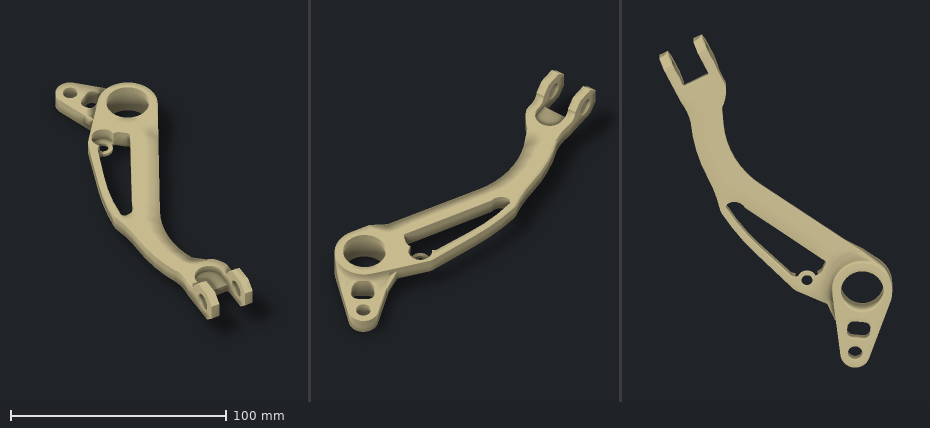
import cadquery as cq
import math


arm_bottom = 7.0
arm_top = 15.0
tab_top = 7.5
lug_top = 23.0
bevel_foot = 10.0
boss_top = 8.6
pocket_floor = 11.2
overcut = 1.7
overlap = 1.7
above_part = lug_top + overcut

hub_radius = 14.0
bore_radius = 10.0
tab_end = (-25.1, -16.5)
tab_end_radius = 6.9
tab_hole_radius = 3.5
tab_window_center = (-16.0, -10.0)
tab_window_length = 10.8
tab_window_width = 8.6
tab_window_corner = 3.1
tab_window_angle = -57
upper_cove_radius = 5.5
lower_cove_radius = 3.3
web_start_x = -7.7
web_end_x = 1.9
web_outer_y = -18.0
web_depth = 6.9

arm_chamfer = 0.7
arm_corner = (13.0, -28.5)
arm_corner_radius = 6.9
arm_slope = math.radians(28.5)
bend_radius = 39.8
bend_center_x = 84.5
bend_end_angle = math.radians(22)
neck_run = 8.5
neck_lower = (107.5, -34.6)
bevel_width = 9.8
bevel_start_x = 23.5

boss_center = (14.6, -21.3)
boss_radius = 4.5
boss_hole_radius = 2.5
boss_recess_radius = 5.5

fork_tip_x = 140.1
fork_center_y = -23.2
fork_width = 21.9
fork_gap = 13.6
fork_gap_x = 124.1
fork_gap_corner = 1.0
fork_pocket_x = 118.5
lug_width = 16.5
lug_chamfer = 4.1
lug_hole_radius = 4.1
lug_cove_radius = 4.0

fork_upper_y = fork_center_y + fork_width / 2
fork_lower_y = fork_center_y - fork_width / 2
bevel_height = arm_top - bevel_foot


def polar(center, radius, angle):
    return (center[0] + radius * math.cos(angle), center[1] + radius * math.sin(angle))


def tangent_angle(point, clockwise):
    """Angle on the hub circle where the tangent through an outside point touches."""
    swing = math.acos(hub_radius / math.hypot(*point))
    return math.atan2(point[1], point[0]) + (-swing if clockwise else swing)


upper_edge_angle = math.pi / 2 - arm_slope
bend_center = (
    bend_center_x,
    (hub_radius + bend_radius - bend_center_x * math.cos(upper_edge_angle)) / math.sin(upper_edge_angle),
)
lower_edge_angle = tangent_angle(arm_corner, True)
upper_edge_start = polar((0, 0), hub_radius, upper_edge_angle)
lower_edge_start = polar((0, 0), hub_radius, lower_edge_angle)
bend_start = polar(bend_center, bend_radius, -math.pi / 2 - arm_slope)
bend_middle = polar(bend_center, bend_radius, -math.pi / 2)
bend_end = polar(bend_center, bend_radius, -math.pi / 2 + bend_end_angle)
neck_upper = polar(bend_end, neck_run, bend_end_angle)
bevel_start = (
    bevel_start_x,
    upper_edge_start[1] - (bevel_start_x - upper_edge_start[0]) * math.tan(arm_slope),
)


def cylinder(center, radius, bottom, top):
    return cq.Workplane("XY", origin=(*center, bottom)).circle(radius).extrude(top - bottom)


def profile_plane(origin, outward):
    """Upright plane whose x runs along the outward direction and y runs along Z."""
    normal = (outward[1], -outward[0], 0)
    return cq.Workplane(cq.Plane((*origin, 0), (*outward, 0), normal))


def make_arm():
    outline = (
        cq.Workplane("XY", origin=(0, 0, arm_bottom))
        .moveTo(*lower_edge_start)
        .lineTo(*arm_corner)
        .lineTo(37.4, -36.7)
        .tangentArcPoint((61.5, -41.8), relative=False)
        .tangentArcPoint((63.9, -41.7), relative=False)
        .tangentArcPoint((80.0, -39.8), relative=False)
        .tangentArcPoint(neck_lower, relative=False)
        .lineTo(*neck_upper)
        .lineTo(*bend_end)
        .threePointArc(bend_middle, bend_start)
        .lineTo(*upper_edge_start)
        .threePointArc((-hub_radius, 0), lower_edge_start)
        .close()
    )
    arm = outline.extrude(arm_top - arm_bottom)
    corner = cq.selectors.NearestToPointSelector((*arm_corner, (arm_bottom + arm_top) / 2))
    return arm.edges("|Z").edges(corner).fillet(arm_corner_radius)


def make_neck():
    """Widening from the arm to the square fork end."""
    return (
        cq.Workplane("XY", origin=(0, 0, arm_bottom))
        .moveTo(*neck_lower)
        .threePointArc((111.9, -33.9), (117.9, fork_lower_y))
        .lineTo(fork_gap_x, fork_lower_y)
        .lineTo(fork_gap_x, fork_upper_y)
        .lineTo(115.5, fork_upper_y)
        .threePointArc((111.4, -14.5), neck_upper)
        .close()
        .extrude(arm_top - arm_bottom)
    )


def chamfer_lower_edge(arm):
    """Break the top edge around the hub and along the lower side up to the fork."""

    def on_lower_side(edge):
        middle = edge.positionAt(0.5)
        return middle.y < arm_corner[1] or middle.x < arm_corner[0]

    edges = [edge for edge in arm.faces(">Z").edges().vals() if on_lower_side(edge)]
    return arm.newObject(edges).chamfer(arm_chamfer)


def bevel_profile(plane, foot):
    """Section above the slope that rises from the foot distance; a foot of 0 gives a point."""
    overshoot = overcut * bevel_width / bevel_height
    outline = [
        (0, bevel_foot),
        (foot, bevel_foot),
        (foot + bevel_width + overshoot, arm_top + overcut),
        (0, arm_top + overcut),
    ]
    return plane.polyline(outline if foot else outline[1:]).close()


def cut_bevel(body):
    """Sloped cut rising from the upper edge, with conical turns at both ends."""
    clear_width = 8.6
    end_run = 20.7

    inward = (-math.sin(arm_slope), -math.cos(arm_slope))
    outside = (bevel_start[0] - clear_width * inward[0], bevel_start[1] - clear_width * inward[1])
    flank_length = math.dist(bevel_start, bend_start)
    flank = bevel_profile(profile_plane(outside, inward), clear_width).extrude(-flank_length)
    body = body.cut(flank)

    spoke = polar((0, 0), 1, -math.pi / 2 - arm_slope)
    sweep = math.degrees(arm_slope + bend_end_angle)
    bend = bevel_profile(profile_plane(bend_center, spoke), bend_radius)
    body = body.cut(bend.revolve(sweep, (0, 0, 0), (0, 1, 0)))

    for apex, side, first, last in (
        (bevel_start, -1, math.pi, 3 * math.pi / 2 - arm_slope),
        (bend_end, 1, bend_end_angle - math.pi / 2, 0),
    ):
        turn = bevel_profile(profile_plane(apex, polar((0, 0), 1, first)), 0)
        turn = turn.revolve(math.degrees(last - first), (0, 0, 0), (0, 1, 0))
        start = (apex[0] - side * clear_width, apex[1])
        run_out = bevel_profile(profile_plane(start, (side, 0)), clear_width).extrude(side * -end_run)
        body = body.cut(turn).cut(run_out)
    return body


def make_tab_prism(height):
    """Hub circle and tab end circle joined by their outer tangents."""
    spacing = math.hypot(*tab_end)
    heading = math.atan2(tab_end[1], tab_end[0])
    swing = math.acos((hub_radius - tab_end_radius) / spacing)
    return (
        cq.Workplane("XY")
        .moveTo(*polar((0, 0), hub_radius, heading + swing))
        .lineTo(*polar(tab_end, tab_end_radius, heading + swing))
        .threePointArc(
            polar(tab_end, tab_end_radius, heading),
            polar(tab_end, tab_end_radius, heading - swing),
        )
        .lineTo(*polar((0, 0), hub_radius, heading - swing))
        .threePointArc(
            polar((0, 0), hub_radius, heading + math.pi),
            polar((0, 0), hub_radius, heading + swing),
        )
        .close()
        .extrude(height)
    )


def cove_profile(plane, wall, level, radius, rise):
    """Section filling the corner at a wall; rise is +1 above a floor, -1 below a ceiling."""
    bite = radius * (1 - math.sqrt(0.5))
    return (
        plane.moveTo(wall - overlap, level)
        .lineTo(wall + radius, level)
        .threePointArc((wall + bite, level + rise * bite), (wall, level + rise * radius))
        .lineTo(wall - overlap, level + rise * radius)
        .close()
    )


def make_upper_cove():
    """Cove from the tab top up the hub and the straight arm wall, inside the tab outline."""
    ring = cove_profile(cq.Workplane("XZ"), hub_radius, tab_top, upper_cove_radius, 1)
    ring = ring.revolve(360, (0, 0, 0), (0, 1, 0))
    outward = polar((0, 0), 1, lower_edge_angle)
    wall = cove_profile(profile_plane((0, 0), outward), hub_radius, tab_top, upper_cove_radius, 1)
    wall = wall.extrude(-math.dist(lower_edge_start, arm_corner))
    return ring.union(wall).intersect(make_tab_prism(arm_top - arm_chamfer))


def make_lower_cove(arm):
    """Cove from the hub to the underside of the arm, inside the arm outline."""
    ring = cove_profile(cq.Workplane("XZ"), hub_radius, arm_bottom, lower_cove_radius, -1)
    ring = ring.revolve(360, (0, 0, 0), (0, 1, 0))
    return ring.intersect(arm.translate((0, 0, -lower_cove_radius)))


def make_web():
    """Slanted web climbing from the lower side of the tab to the arm wall."""
    return (
        cq.Workplane("XZ", origin=(0, web_outer_y + web_depth, 0))
        .moveTo(web_start_x, arm_bottom - lower_cove_radius)
        .lineTo(web_end_x, arm_bottom)
        .lineTo(web_end_x, tab_top + upper_cove_radius)
        .lineTo(web_start_x, tab_top)
        .close()
        .extrude(web_depth)
    )


def make_lugs():
    left = fork_tip_x - lug_width
    shoulder = lug_top - lug_chamfer
    cove_center = (left - lug_cove_radius, arm_top + lug_cove_radius)
    return (
        cq.Workplane("XZ", origin=(0, fork_upper_y, 0))
        .moveTo(cove_center[0], arm_bottom)
        .lineTo(fork_tip_x - lug_chamfer, arm_bottom)
        .lineTo(fork_tip_x, arm_bottom + lug_chamfer)
        .lineTo(fork_tip_x, shoulder)
        .lineTo(fork_tip_x - lug_chamfer, lug_top)
        .lineTo(left + lug_chamfer, lug_top)
        .lineTo(left, shoulder)
        .threePointArc(polar(cove_center, lug_cove_radius, -math.pi / 4), (cove_center[0], arm_top))
        .close()
        .extrude(fork_width)
    )


def cut_fork(body):
    length = fork_tip_x - fork_gap_x + overcut
    gap = (
        cq.Workplane("XY")
        .center(fork_gap_x + length / 2, fork_center_y)
        .rect(length, fork_gap)
        .extrude(above_part)
        .edges("|Z and <X")
        .fillet(fork_gap_corner)
    )
    pocket_length = fork_tip_x - fork_pocket_x
    pocket = (
        cq.Workplane("XY", origin=(fork_pocket_x, fork_center_y, pocket_floor))
        .center(pocket_length / 2, 0)
        .rect(pocket_length, fork_gap)
        .extrude(above_part)
    )
    pocket = pocket.union(
        cylinder((fork_pocket_x, fork_center_y), fork_gap / 2, pocket_floor, above_part)
    )
    pin_hole = (
        cq.Workplane("XZ", origin=(0, fork_upper_y, 0))
        .center(fork_tip_x - lug_width / 2, arm_top)
        .circle(lug_hole_radius)
        .extrude(fork_width)
    )
    return body.cut(gap).cut(pocket).cut(pin_hole)


def make_arm_opening():
    """Long opening through the arm, leaving the boss standing at its hub end."""
    opening = (
        cq.Workplane("XY")
        .moveTo(19.8, -9.8)
        .lineTo(59.2, -31.0)
        .threePointArc((63.9, -33.9), (64.5, -37.2))
        .threePointArc((63.7, -38.5), (62.1, -38.9))
        .threePointArc((49.0, -37.0), (37.4, -33.5))
        .lineTo(19.6, -27.2)
        .threePointArc((18.6, -26.2), (18.2, -24.1))
        .lineTo(*boss_center)
        .lineTo(14.6, -16.4)
        .threePointArc((14.6, -14.3), (15.5, -12.5))
        .lineTo(17.7, -10.0)
        .threePointArc((18.8, -9.5), (19.8, -9.8))
        .close()
        .extrude(above_part)
    )
    return opening.cut(cylinder(boss_center, boss_radius, 0, above_part))


def make_tab_window():
    return (
        cq.Workplane("XY")
        .rect(tab_window_length, tab_window_width)
        .extrude(arm_top - 2 * arm_chamfer)
        .edges("|Z")
        .fillet(tab_window_corner)
        .rotate((0, 0, 0), (0, 0, 1), tab_window_angle)
        .translate((*tab_window_center, 0))
    )


plain_arm = make_arm()
body = cut_bevel(chamfer_lower_edge(plain_arm).union(make_neck()))
for addition in (make_tab_prism(tab_top), make_upper_cove(), make_lower_cove(plain_arm), make_web()):
    body = body.union(addition)

body = cut_fork(body.union(make_lugs()))

body = body.cut(make_arm_opening())
body = body.cut(cylinder(boss_center, boss_recess_radius, boss_top, above_part))
body = body.cut(make_tab_window())
for hole_center, hole_radius in (
    ((0, 0), bore_radius),
    (tab_end, tab_hole_radius),
    (boss_center, boss_hole_radius),
):
    body = body.cut(cylinder(hole_center, hole_radius, 0, above_part))

result = body